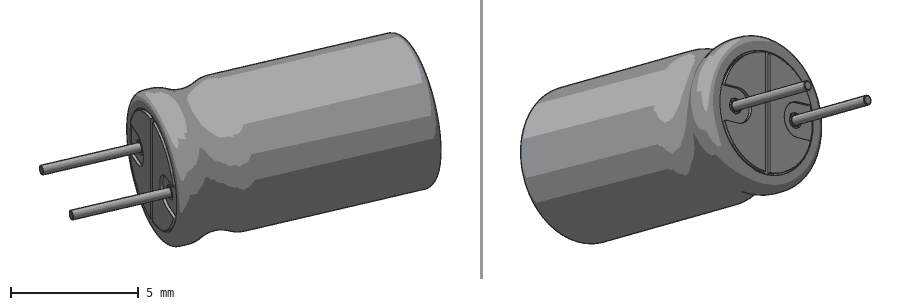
import cadquery as cq
import math

total_length = 15.1
lead_length = 4.1
can_length = total_length - lead_length
can_radius = 6.3 / 2
end_fillet = 0.35

neck_center = 1.87
neck_depth = 0.29
neck_half_length = 1.21
concave_half_length = 0.72

pad_radius = 4.85 / 2
seal_radius = 5.0 / 2
seal_recess = 0.06
pad_height = 0.08
pad_corner_fillet = 0.08
pad_gap = 0.24
pad_notch_radius = 0.72

lead_radius = 0.4 / 2
lead_tip_chamfer = 0.03
lead_offset = 1.6
lead_hole_radius = 0.62 / 2
lead_hole_depth = 0.09
collar_radius = 0.47 / 2
collar_height = lead_hole_depth

end_plane = cq.Workplane("XZ")
lead_centers = [(-lead_offset, 0), (lead_offset, 0)]


def make_can():
    """Revolve the can outline, including both rounded ends and the neck."""
    radius_sum = (neck_half_length**2 + neck_depth**2) / (2 * neck_depth)
    concave_radius = radius_sum * concave_half_length / neck_half_length
    convex_radius = radius_sum - concave_radius
    join_angle = math.asin(neck_half_length / radius_sum)
    join_radius = can_radius - convex_radius * (1 - math.cos(join_angle))
    fillet_inset = end_fillet * (1 - math.sqrt(0.5))

    def convex_middle(side):
        half_angle = join_angle / 2
        radius = can_radius - convex_radius * (1 - math.cos(half_angle))
        offset = neck_half_length - convex_radius * math.sin(half_angle)
        return (radius, neck_center + side * offset)

    outline = (
        cq.Workplane("XY")
        .lineTo(can_radius - end_fillet, 0)
        .threePointArc((can_radius - fillet_inset, fillet_inset), (can_radius, end_fillet))
        .lineTo(can_radius, neck_center - neck_half_length)
        .threePointArc(convex_middle(-1), (join_radius, neck_center - concave_half_length))
        .threePointArc(
            (can_radius - neck_depth, neck_center),
            (join_radius, neck_center + concave_half_length),
        )
        .threePointArc(convex_middle(1), (can_radius, neck_center + neck_half_length))
        .lineTo(can_radius, can_length - end_fillet)
        .threePointArc(
            (can_radius - fillet_inset, can_length - fillet_inset),
            (can_radius - end_fillet, can_length),
        )
        .lineTo(0, can_length)
        .close()
    )
    return outline.revolve(360, (0, 0, 0), (0, 1, 0))


def make_seal_recess():
    """Shallow round recess whose floor carries the pads."""
    return end_plane.circle(seal_radius).extrude(-seal_recess)


def make_pads():
    """Two half-round pads with rounded outer corners, split by a gap and notched around the leads."""
    bottom = end_plane.workplane(offset=-seal_recess)
    height = pad_height + seal_recess
    pads = bottom.circle(pad_radius).extrude(height)
    pads = pads.cut(bottom.rect(pad_gap, 2 * pad_radius).extrude(height))
    notches = bottom.pushPoints(lead_centers).circle(pad_notch_radius).extrude(height)
    for side in (-1, 1):
        opening = bottom.center(side * (lead_offset + pad_radius / 2), 0)
        notches = notches.union(opening.rect(pad_radius, 2 * pad_notch_radius).extrude(height))
    pads = pads.cut(notches)
    outer_corners = pads.edges("|Y and (<X or >X)")
    return outer_corners.fillet(pad_corner_fillet)


def make_lead_holes():
    """Round clearance holes sunk into the recess floor around the leads."""
    mouth = end_plane.workplane(offset=-seal_recess)
    return mouth.pushPoints(lead_centers).circle(lead_hole_radius).extrude(-lead_hole_depth)


def make_leads():
    """Round leads with chamfered tips, each rising through a short collar on its hole floor."""
    hole_floor = end_plane.workplane(offset=-seal_recess - lead_hole_depth)
    root_length = seal_recess + lead_hole_depth
    leads = hole_floor.pushPoints(lead_centers).circle(lead_radius).extrude(lead_length + root_length)
    leads = leads.faces("<Y").edges().chamfer(lead_tip_chamfer)
    collars = hole_floor.pushPoints(lead_centers).circle(collar_radius).extrude(collar_height)
    return leads.union(collars)


can = make_can().cut(make_seal_recess())
result = can.union(make_pads()).cut(make_lead_holes()).union(make_leads())